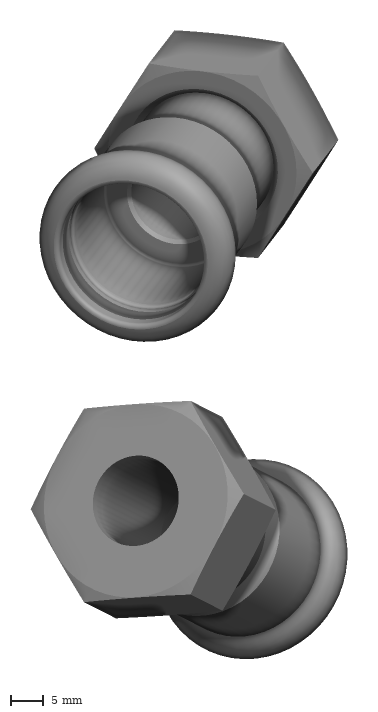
import cadquery as cq
import math

total_length = 53.4
neck_diameter = 22.0

arc_sag_ratio = 1 - math.sqrt(0.5)

nut_across_corners = 34.65
nut_length = 15.0
nut_hole_diameter = neck_diameter
nut_mouth_diameter = 24.0
nut_face_diameter = 29.9
nut_chamfer_angle = 15.0

bead_diameter = 30.8
bead_length = 7.5
sleeve_diameter = 25.3
sleeve_end = 25.0
neck_start = sleeve_end + (sleeve_diameter - neck_diameter) / 2

mouth_diameter = 24.4
lip_diameter = 22.9
groove_start = 2.3
groove_end = 5.35
groove_bulge = 1.7
land_end = 6.6
shoulder_end = 7.55
socket_diameter = 22.2
socket_floor_diameter = 21.35
socket_depth = 23.5
bore_diameter = 14.0
bore_chamfer = 0.55

nut_start = total_length - nut_length


def make_fitting():
    """Revolve the half section (radius, Y) of the press fitting about Y."""
    bead_middle = bead_length / 2
    bead_rise = (bead_diameter - mouth_diameter) / 2
    bead_round_radius = (bead_middle**2 + bead_rise**2) / (2 * bead_rise)
    bead_center_radius = bead_diameter / 2 - bead_round_radius
    sleeve_rise = sleeve_diameter / 2 - bead_center_radius
    bead_back = bead_middle + math.sqrt(bead_round_radius**2 - sleeve_rise**2)
    lip_round_radius = (mouth_diameter - lip_diameter) / 2
    lip_sag = lip_round_radius * arc_sag_ratio
    floor_fillet = (socket_diameter - socket_floor_diameter) / 2
    floor_sag = floor_fillet * arc_sag_ratio
    groove_middle = (groove_start + groove_end) / 2
    section = (
        cq.Workplane("XY")
        .moveTo(mouth_diameter / 2, 0)
        .threePointArc((bead_diameter / 2, bead_middle), (sleeve_diameter / 2, bead_back))
        .lineTo(sleeve_diameter / 2, sleeve_end)
        .lineTo(neck_diameter / 2, neck_start)
        .lineTo(neck_diameter / 2, total_length)
        .lineTo(bore_diameter / 2, total_length)
        .lineTo(bore_diameter / 2, socket_depth + bore_chamfer)
        .lineTo(bore_diameter / 2 + bore_chamfer, socket_depth)
        .lineTo(socket_floor_diameter / 2, socket_depth)
        .threePointArc(
            (socket_diameter / 2 - floor_sag, socket_depth - floor_sag),
            (socket_diameter / 2, socket_depth - floor_fillet),
        )
        .lineTo(socket_diameter / 2, shoulder_end)
        .tangentArcPoint((lip_diameter / 2, land_end), relative=False)
        .lineTo(lip_diameter / 2, groove_end)
        .threePointArc(
            (lip_diameter / 2 + groove_bulge, groove_middle),
            (lip_diameter / 2, groove_start),
        )
        .lineTo(lip_diameter / 2, lip_round_radius)
        .threePointArc(
            (lip_diameter / 2 + lip_sag, lip_sag),
            (mouth_diameter / 2, 0),
        )
        .close()
    )
    return section.revolve(360, (0, 0, 0), (0, 1, 0))


def make_nut():
    """Hexagon with corners on +X and -X, chamfered at both ends, with a countersunk hole that fits the neck."""
    countersink_depth = (nut_mouth_diameter - nut_hole_diameter) / 2
    blank = (
        cq.Workplane("XZ", origin=(0, total_length, 0))
        .polygon(6, nut_across_corners)
        .circle(nut_hole_diameter / 2)
        .extrude(nut_length)
    )
    face_radius = nut_face_diameter / 2
    corner_radius = nut_across_corners / 2
    chamfer_depth = (corner_radius - face_radius) * math.tan(math.radians(nut_chamfer_angle))
    chamfer_envelope = (
        cq.Workplane("XY")
        .moveTo(0, nut_start)
        .lineTo(face_radius, nut_start)
        .lineTo(corner_radius, nut_start + chamfer_depth)
        .lineTo(corner_radius, total_length - chamfer_depth)
        .lineTo(face_radius, total_length)
        .lineTo(0, total_length)
        .close()
        .revolve(360, (0, 0, 0), (0, 1, 0))
    )
    countersink = cq.Workplane("XY").add(
        cq.Solid.makeCone(
            nut_mouth_diameter / 2,
            nut_hole_diameter / 2,
            countersink_depth,
            cq.Vector(0, nut_start, 0),
            cq.Vector(0, 1, 0),
        )
    )
    return blank.intersect(chamfer_envelope).cut(countersink)


fitting = make_fitting()
nut = make_nut()
result = cq.Compound.makeCompound([fitting.val(), nut.val()])